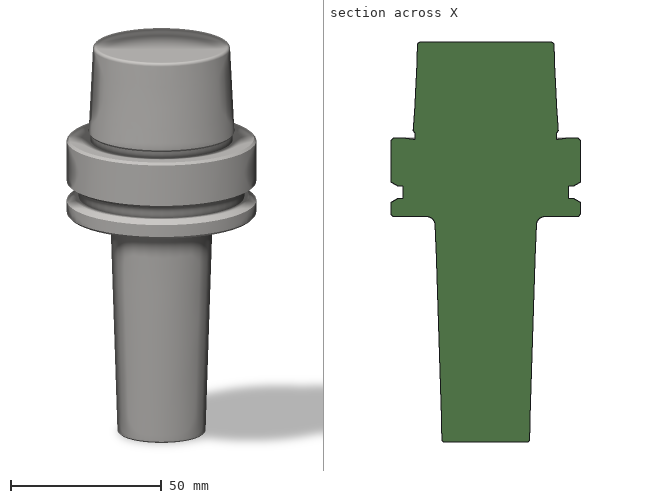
import cadquery as cq
import math

total_height = 132.9
flange_bottom = 74.8
flange_top = 101.0

flange_radius = 31.5
flange_edge_chamfer = 0.8
groove_radius = 27.5
groove_bottom = 81.1
groove_top = 84.9
groove_flank_depth = 2.4
groove_flank_angle = 30.0
groove_flank_rise = groove_flank_depth * math.tan(math.radians(groove_flank_angle))
groove_lip_radius = flange_radius - groove_flank_depth

recess_radius = 26.6
recess_depth = 0.4

neck_radius = 23.7
neck_top = 102.7
taper_bottom = 103.4
taper_bottom_radius = 24.2
taper_slope = 1 / 20
taper_top_radius = taper_bottom_radius - taper_slope * (total_height - taper_bottom)
top_edge_fillet = 1.0

nose_tip_radius = 14.6
nose_root_radius = 17.0
nose_tip_chamfer = 0.5
nose_root_fillet = 2.7


def make_nose():
    """Cone that widens upwards into the flange, with a chamfered tip."""
    profile = [
        (0, 0),
        (nose_tip_radius, 0),
        (nose_root_radius, flange_bottom),
        (0, flange_bottom),
    ]
    nose = cq.Workplane("XZ").polyline(profile).close().revolve(360, (0, 0), (0, 1))
    return nose.faces("<Z").edges().chamfer(nose_tip_chamfer)


def make_flange():
    """Grooved flange with a dished upper face."""
    profile = [
        (0, flange_bottom),
        (flange_radius - flange_edge_chamfer, flange_bottom),
        (flange_radius, flange_bottom + flange_edge_chamfer),
        (flange_radius, groove_bottom - groove_flank_rise),
        (groove_lip_radius, groove_bottom),
        (groove_radius, groove_bottom),
        (groove_radius, groove_top),
        (groove_lip_radius, groove_top),
        (flange_radius, groove_top + groove_flank_rise),
        (flange_radius, flange_top - flange_edge_chamfer),
        (flange_radius - flange_edge_chamfer, flange_top),
        (recess_radius, flange_top),
        (neck_radius, flange_top - recess_depth),
        (0, flange_top - recess_depth),
    ]
    return cq.Workplane("XZ").polyline(profile).close().revolve(360, (0, 0), (0, 1))


def make_taper():
    """Neck and taper above the flange, narrowing to a rounded top edge."""
    profile = [
        (0, flange_top - recess_depth),
        (neck_radius, flange_top - recess_depth),
        (neck_radius, neck_top),
        (taper_bottom_radius, taper_bottom),
        (taper_top_radius, total_height),
        (0, total_height),
    ]
    taper = cq.Workplane("XZ").polyline(profile).close().revolve(360, (0, 0), (0, 1))
    return taper.faces(">Z").edges().fillet(top_edge_fillet)


body = make_nose().union(make_flange())
nose_root_edge = cq.selectors.BoxSelector(
    (-flange_radius, -flange_radius, flange_bottom - nose_root_fillet),
    (flange_radius, flange_radius, flange_bottom + flange_edge_chamfer / 2),
)
body = body.edges(nose_root_edge).edges("%CIRCLE").edges(cq.selectors.RadiusNthSelector(0))
body = body.fillet(nose_root_fillet)

result = body.union(make_taper())